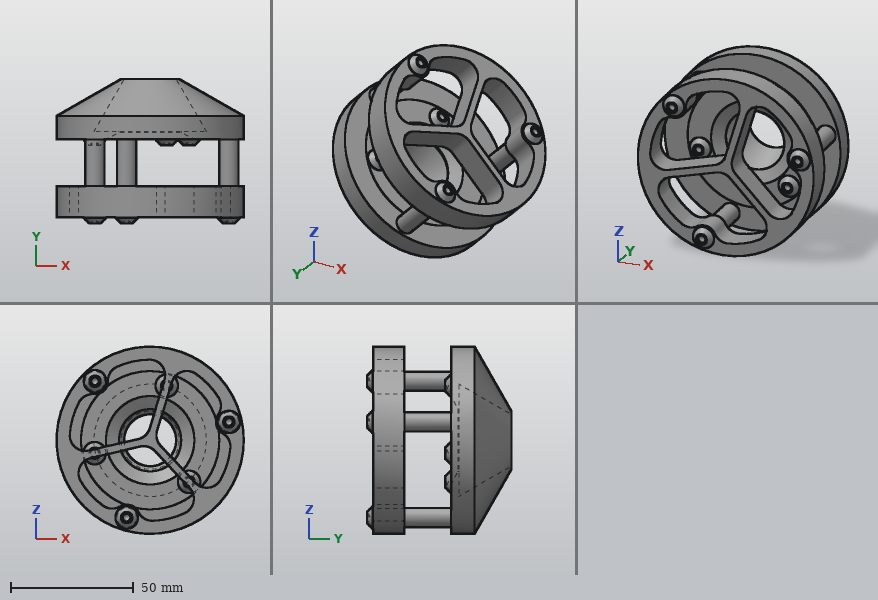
import cadquery as cq
import math


outer_radius = 38.1
disc_thickness = 9.5
cone_length = 15.0
nose_radius = 11.8
funnel_mouth_radius = 18.0
funnel_throat_radius = 12.65
funnel_depth = 2.75
hollow_front_radius = 22.85
front_wall = 3.2
nose_hole_radius = 10.5
recess_radius = 28.1
recess_depth = 0.1

gap = 19.0
plate_thickness = 12.7
pocket_radius = 32.8
spoke_width = 3.2
pocket_corner_radius = 6.3
rod_boss_radius = 5.25

count = 3
rod_angle = 13.1
rod_circle_radius = 32.85
rod_radius = 4.0
rod_seat_depth = 4.8
spoke_angle = rod_angle + 180 / count
inner_screw_circle_radius = 23.2

head_radius = 4.6
head_rim = 0.2
head_height = 2.5
head_top_radius = 2.3
socket_mouth_radius = 1.9
socket_radius = 1.6
socket_depth = 0.6
socket_tip_depth = 1.4

plate_rear_y = -gap
plate_front_y = plate_rear_y - plate_thickness
nose_y = disc_thickness + cone_length


def revolve_about_y(profile):
    """Revolve a closed (radius, y) profile about the Y axis."""
    return cq.Workplane("XY").polyline(profile).close().revolve(360, (0, 0, 0), (0, 1, 0))


def cylinder(radius, front_y, rear_y):
    """Cylinder about the Y axis between two positions along Y."""
    return cq.Workplane("XZ", origin=(0, rear_y, 0)).circle(radius).extrude(rear_y - front_y)


def polar_offset(radius, angle, y=0.0):
    """Point at a polar position in the XZ plane, the angle counted from +X towards +Z."""
    turn = math.radians(angle)
    return cq.Vector(radius * math.cos(turn), y, radius * math.sin(turn))


def around_axis(start_angle):
    """Equally spaced angles around the axis."""
    return [start_angle + i * 360 / count for i in range(count)]


def rear_body():
    """Shell of revolution; a thin front wall holds the funnel, behind it the hollow narrows to the nose."""
    return revolve_about_y([
        (recess_radius, 0),
        (outer_radius, 0),
        (outer_radius, disc_thickness),
        (nose_radius, nose_y),
        (nose_hole_radius, nose_y),
        (hollow_front_radius, front_wall),
        (funnel_throat_radius, front_wall),
        (funnel_throat_radius, funnel_depth),
        (funnel_mouth_radius, recess_depth),
        (recess_radius, recess_depth),
    ])


def pocket():
    """Pocket between two spokes, notched by the boss around a rod, for the rod on +X."""
    half_angle = math.radians(180 / count)
    apex = spoke_width / 2 / math.sin(half_angle)
    reach = 2 * outer_radius
    far_x = apex + reach * math.cos(half_angle)
    far_z = reach * math.sin(half_angle)
    wedge = (
        cq.Workplane("XZ", origin=(0, plate_rear_y, 0))
        .polyline([(apex, 0), (far_x, far_z), (far_x, -far_z)])
        .close()
        .extrude(plate_thickness)
    )
    boss = cylinder(rod_boss_radius, plate_front_y, plate_rear_y).translate(
        polar_offset(rod_circle_radius, 0)
    )
    shape = wedge.intersect(cylinder(pocket_radius, plate_front_y, plate_rear_y)).cut(boss)
    return shape.edges("|Y").fillet(pocket_corner_radius)


def front_plate():
    """Disc with three pockets, leaving a rim, three spokes and a boss around each rod."""
    plate = cylinder(outer_radius, plate_front_y, plate_rear_y)
    opening = pocket()
    for angle in around_axis(rod_angle):
        plate = plate.cut(opening.rotate((0, 0, 0), (0, 1, 0), -angle))
    return plate


def screw_head():
    """Screw head standing on y = 0 and pointing towards -Y."""
    top_y = -head_height
    socket_chamfer = socket_mouth_radius - socket_radius
    return revolve_about_y([
        (0, 0),
        (head_radius, 0),
        (head_radius, -head_rim),
        (head_top_radius, top_y),
        (socket_mouth_radius, top_y),
        (socket_radius, top_y + socket_chamfer),
        (socket_radius, top_y + socket_depth),
        (0, top_y + socket_tip_depth),
    ])


result = rear_body().union(front_plate())
rod = cylinder(rod_radius, plate_front_y, rod_seat_depth)
head = screw_head()
for angle in around_axis(rod_angle):
    result = result.union(rod.translate(polar_offset(rod_circle_radius, angle)))
    result = result.union(head.translate(polar_offset(rod_circle_radius, angle, plate_front_y)))
for angle in around_axis(spoke_angle):
    place = polar_offset(inner_screw_circle_radius, angle, recess_depth)
    result = result.union(head.translate(place))